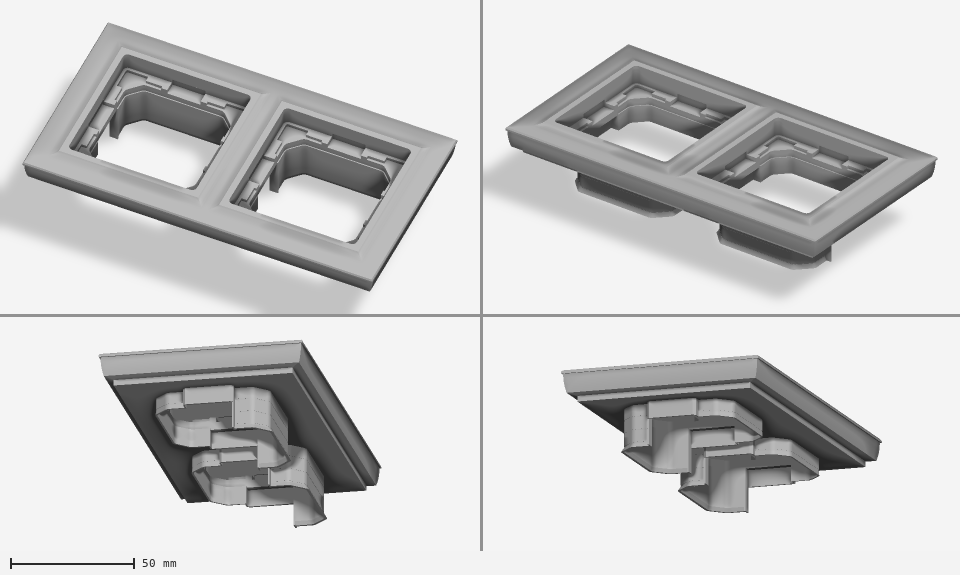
import cadquery as cq
import math


length = 155.1
width = 84.0
plate_top = 12.3
base_inset = 5.1
base_height = 2.3
flank_bottom_inset = 1.7
flank_bottom = 3.1
flank_top_inset = 0.6
flank_top = 10.9
flank_bulge = 0.3
rim_bevel = 0.5
rim_bevel_height = 0.6

module_pitch = 71.0
module_centers = [(-module_pitch / 2, 0, 0), (module_pitch / 2, 0, 0)]

bezel_outer = 67.8
bezel_crest = 61.7
bezel_height = 1.1
bezel_top = plate_top + bezel_height
window_size = 56.5
window_corner_radius = 2.0

ledge_top = bezel_top - 8.0
pocket_depth = 1.4
pocket_outer = 27.0
pocket_inner = 17.4
pocket_corner_radius = 1.0
lip_outer = 24.7
lip_end = 10.1
notch_width = 14.9
notch_depth = 2.0
notch_rise = 1.7
notch_undercut = 0.6

opening_half = 23.5
opening_flat = 17.7
opening_corner_radius = 3.1
skirt_outer = 23.7
skirt_inner = 23.1
skirt_top = 0.6
shallow_bottom = -7.0
deep_bottom = -17.7
flare_height = 1.7
flare_outer = 1.1
flare_inner = 0.55
shallow_flare = 0.2
groove_height = 0.5
groove_depth = 0.1
groove_levels = [-5.1, -10.5, -15.8]

bulge_half_width = 10.4
bulge_wall = 0.6
bulge_shoulder = 26.8
bulge_reach = 27.9
bulge_chamfer = bulge_reach - bulge_shoulder


def block(x_range, y_range, z_range):
    """Box given by its limits along each axis."""
    (x0, x1), (y0, y1), (z0, z1) = x_range, y_range, z_range
    return cq.Workplane("XY").box(x1 - x0, y1 - y0, z1 - z0, centered=False).translate((x0, y0, z0))


def mitred(profile, size_x, size_y):
    """Rectangle with the same edge profile on all sides, mitred at the corners."""
    across_x = profile("XZ", size_x / 2).extrude(size_y / 2, both=True)
    across_y = profile("YZ", size_y / 2).extrude(size_x / 2, both=True)
    return across_x.intersect(across_y)


def plate_profile(plane, half):
    """Stepped foot, rounded flanks that lean outward, and a bevelled rim."""
    flank_middle = half - (flank_bottom_inset + flank_top_inset) / 2 + flank_bulge
    flank_middle_z = (flank_bottom + flank_top) / 2
    return (
        cq.Workplane(plane)
        .moveTo(base_inset - half, 0)
        .lineTo(half - base_inset, 0)
        .lineTo(half - base_inset, base_height)
        .lineTo(half - flank_bottom_inset, flank_bottom)
        .threePointArc((flank_middle, flank_middle_z), (half - flank_top_inset, flank_top))
        .lineTo(half, flank_top)
        .lineTo(half, plate_top - rim_bevel_height)
        .lineTo(half - rim_bevel, plate_top)
        .lineTo(rim_bevel - half, plate_top)
        .lineTo(-half, plate_top - rim_bevel_height)
        .lineTo(-half, flank_top)
        .lineTo(flank_top_inset - half, flank_top)
        .threePointArc((-flank_middle, flank_middle_z), (flank_bottom_inset - half, flank_bottom))
        .lineTo(base_inset - half, base_height)
        .close()
    )


def bezel_profile(plane, half):
    """Coves that leave the plate top tangentially and steepen up to the crest."""
    cove_width = (bezel_outer - bezel_crest) / 2
    crest = half - cove_width
    cove_radius = (cove_width**2 + bezel_height**2) / (2 * bezel_height)
    half_angle = math.atan(bezel_height / cove_width)
    cove_middle = half - cove_radius * math.sin(half_angle)
    cove_middle_z = plate_top + cove_radius * (1 - math.cos(half_angle))
    return (
        cq.Workplane(plane)
        .moveTo(-half, ledge_top)
        .lineTo(half, ledge_top)
        .lineTo(half, plate_top)
        .threePointArc((cove_middle, cove_middle_z), (crest, bezel_top))
        .lineTo(-crest, bezel_top)
        .threePointArc((-cove_middle, cove_middle_z), (-half, plate_top))
        .close()
    )


def octagon_prism(z_bottom, z_top, half_bottom, half_top=None):
    """Octagon with rounded corners; it tapers when the two half sizes differ."""
    if half_top is None:
        half_top = half_bottom
    prism = cq.Workplane("XY").workplane(offset=z_bottom)
    for half, rise in ((half_bottom, z_top - z_bottom), (half_top, 0)):
        flat = opening_flat + (half - opening_half) * math.tan(math.radians(22.5))
        corners = [
            (half, -flat), (half, flat), (flat, half), (-flat, half),
            (-half, flat), (-half, -flat), (-flat, -half), (flat, -half),
        ]
        prism = prism.polyline(corners).close().workplane(offset=rise)
    return prism.loft(ruled=True).edges("not(#Z)").fillet(opening_corner_radius)


def around(feature):
    """The feature on all four sides of the module."""
    copies = feature
    for turn in (90, 180, 270):
        copies = copies.union(feature.rotate((0, 0, 0), (0, 0, 1), turn))
    return copies


def window_cut():
    """Window, ledge recesses and octagonal opening of one module."""
    window = (
        cq.Workplane("XY").workplane(offset=ledge_top)
        .rect(window_size, window_size).extrude(bezel_top - ledge_top)
        .edges("|Z").fillet(window_corner_radius)
    )
    pocket_levels = (ledge_top - pocket_depth, ledge_top)
    pocket = block((pocket_inner, pocket_outer), (pocket_inner, pocket_outer), pocket_levels)
    pocket = pocket.edges("|Z and >(1,1,0)").fillet(pocket_corner_radius)
    lip = block((lip_end, lip_outer), (lip_end, lip_outer), pocket_levels)
    notch = block(
        (0, window_size / 2 + notch_undercut),
        (-notch_width / 2, notch_width / 2),
        (ledge_top - notch_depth, ledge_top + notch_rise),
    )
    opening = octagon_prism(0, ledge_top, opening_half)
    return window.union(around(pocket.union(lip).union(notch))).union(opening)


def skirt_band(bottom, flare_out, flare_in):
    """Grooved skirt wall whose lower edge flares outward."""
    flare_top = bottom + flare_height
    outer = octagon_prism(flare_top, skirt_top, skirt_outer)
    outer = outer.union(octagon_prism(bottom, flare_top, skirt_outer + flare_out, skirt_outer))
    for level in groove_levels:
        if level > flare_top:
            ring = octagon_prism(level, level + groove_height, bulge_reach)
            ring = ring.cut(octagon_prism(level, level + groove_height, skirt_outer - groove_depth))
            outer = outer.cut(ring)
    inner = octagon_prism(flare_top, skirt_top, skirt_inner)
    inner = inner.union(octagon_prism(bottom, flare_top, skirt_inner + flare_in, skirt_inner))
    return outer.cut(inner)


def bulge():
    """Hollow box that widens the skirt around the middle of its +X side."""
    shape = block((0, bulge_reach), (-bulge_half_width, bulge_half_width), (shallow_bottom, 0))
    shape = shape.edges("|Z and >X").chamfer(bulge_chamfer)
    hollow_half_width = bulge_half_width - bulge_wall
    hollow = block((0, bulge_shoulder), (-hollow_half_width, hollow_half_width), (shallow_bottom, 0))
    return shape.cut(hollow)


def fin():
    """Plate that closes the end of the deep skirt on its +X side."""
    return block(
        (skirt_inner, bulge_shoulder),
        (bulge_half_width - bulge_wall, bulge_half_width),
        (deep_bottom, 0),
    )


def skirt():
    """Shallow on the -Y half, deep on the +Y half, open between the side bulges."""
    reach = bulge_reach + flare_outer
    wall_end = bulge_half_width - bulge_wall
    shallow_zone = block((-reach, reach), (-reach, -wall_end), (deep_bottom, skirt_top))
    deep_zone = block((-reach, reach), (wall_end, reach), (deep_bottom, skirt_top))
    body = skirt_band(deep_bottom, flare_outer, flare_inner).intersect(deep_zone)
    body = body.union(skirt_band(shallow_bottom, shallow_flare, 0).intersect(shallow_zone))
    side = bulge().cut(octagon_prism(shallow_bottom, skirt_top, skirt_inner)).union(fin())
    return body.union(side).union(side.mirror("YZ"))


plate = mitred(plate_profile, length, width)
bezel = mitred(bezel_profile, bezel_outer, bezel_outer)
cut = window_cut()
skirt_body = skirt()

result = plate
for center in module_centers:
    result = result.union(bezel.translate(center))
for center in module_centers:
    result = result.cut(cut.translate(center)).union(skirt_body.translate(center))